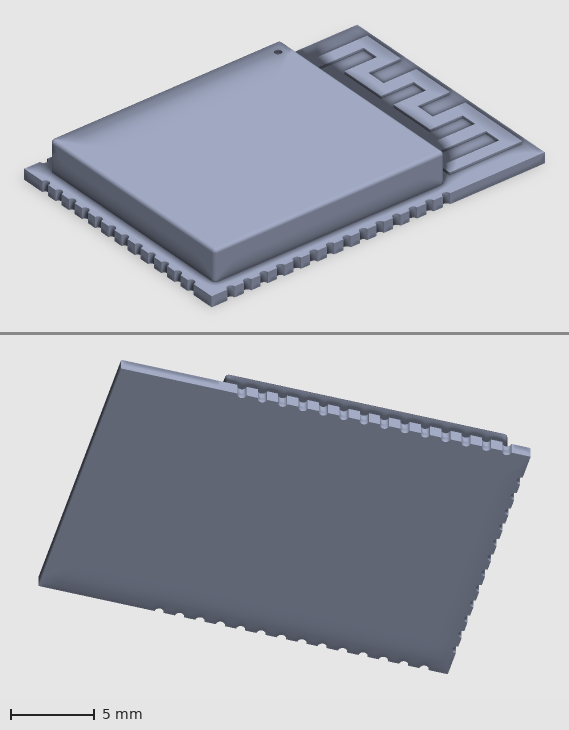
import cadquery as cq

board_width = 18.0
board_length = 25.5
board_thickness = 0.8
total_height = 3.1
board_left = -board_width / 2
board_front = -board_length / 2
board_back = board_length / 2

pad_width = 0.92
pad_depth = 0.45
notch_radius = 0.28
side_pad_count = 14
front_pad_count = 12
first_side_pad_offset = 1.48
side_pad_span = 16.5
pad_pitch = side_pad_span / (side_pad_count - 1)

shield_width = 15.8
shield_length = 17.6
shield_left_margin = 1.17
shield_front_margin = 1.05
shield_edge_radius = 0.25
shield_height = total_height - board_thickness
shield_front = board_front + shield_front_margin
shield_left = board_left + shield_left_margin

mark_diameter = 0.5
mark_depth = 0.18
mark_x = board_left + 2.22
mark_y = board_back - 7.83

trace_height = 0.2
trace_width = 1.02
end_leg_width = 0.92
end_gap = 1.3
upper_gap = 1.48
lower_gap = 1.2
antenna_back = board_back - 0.48
meander_depth = 3.52
short_end_depth = 4.55
long_end_depth = 5.55

leg_widths = [end_leg_width] + [trace_width] * 5 + [end_leg_width]
leg_gaps = [end_gap, upper_gap, lower_gap, upper_gap, lower_gap, end_gap]
leg_depths = [short_end_depth] + [meander_depth] * 4 + [long_end_depth] * 2
upper_bars = [(0, 1), (2, 3), (4, 6)]
lower_bars = [(1, 2), (3, 4)]


def corner_box(left, front, bottom, width, length, height):
    """Box placed by its left, front, bottom corner."""
    return cq.Workplane("XY").box(width, length, height, centered=False).translate((left, front, bottom))


def make_board():
    board = corner_box(board_left, board_front, 0, board_width, board_length, board_thickness)
    side_points = [
        (side * board_width / 2, board_front + first_side_pad_offset + i * pad_pitch)
        for side in (-1, 1)
        for i in range(side_pad_count)
    ]
    front_points = [
        ((i - (front_pad_count - 1) / 2) * pad_pitch, board_front)
        for i in range(front_pad_count)
    ]
    notches = (
        cq.Workplane("XY")
        .pushPoints(side_points + front_points)
        .circle(notch_radius)
        .extrude(board_thickness)
    )
    board = board.cut(notches)

    side_blocks = (
        cq.Workplane("XY").pushPoints(side_points).rect(2 * pad_depth, pad_width).extrude(board_thickness)
    )
    front_blocks = (
        cq.Workplane("XY").pushPoints(front_points).rect(pad_width, 2 * pad_depth).extrude(board_thickness)
    )
    pad_blocks = side_blocks.union(front_blocks)
    pads = board.intersect(pad_blocks)
    return board.cut(pad_blocks).union(pads, clean=False)


def make_shield():
    shield = corner_box(
        shield_left, shield_front, board_thickness, shield_width, shield_length, shield_height
    )
    shield = shield.edges("|Z or >Z").fillet(shield_edge_radius)
    mark = (
        cq.Workplane("XY", origin=(mark_x, mark_y, total_height - mark_depth))
        .circle(mark_diameter / 2)
        .extrude(mark_depth)
    )
    return shield.cut(mark)


def make_antenna():
    antenna_width = sum(leg_widths) + sum(leg_gaps)
    leg_lefts = [
        -antenna_width / 2 + sum(leg_widths[:i]) + sum(leg_gaps[:i])
        for i in range(len(leg_widths))
    ]

    def bar(first, last, back):
        left = leg_lefts[first]
        right = leg_lefts[last] + leg_widths[last]
        return corner_box(left, back - trace_width, board_thickness, right - left, trace_width, trace_height)

    antenna = cq.Workplane("XY")
    for left, width, depth in zip(leg_lefts, leg_widths, leg_depths):
        antenna = antenna.union(
            corner_box(left, antenna_back - depth, board_thickness, width, depth, trace_height)
        )
    for first, last in upper_bars:
        antenna = antenna.union(bar(first, last, antenna_back))
    for first, last in lower_bars:
        antenna = antenna.union(bar(first, last, antenna_back - meander_depth + trace_width))
    return antenna


result = make_board().union(make_shield(), clean=False).union(make_antenna(), clean=False)